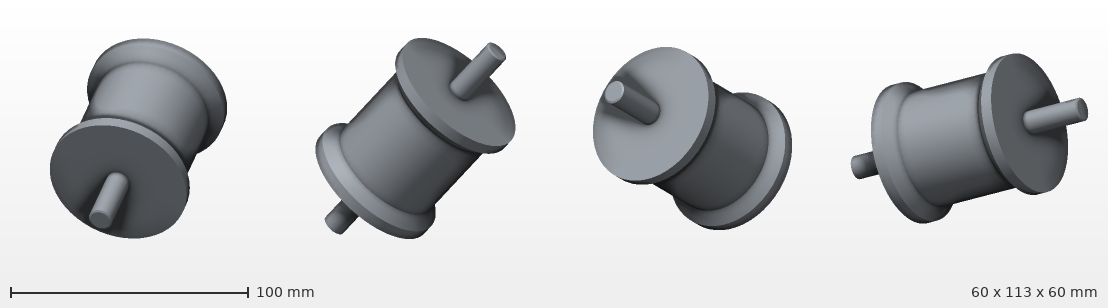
import cadquery as cq

overall_length = 113.0
body_length = 60.0
flange_diameter = 60.0
barrel_diameter = 50.0
rim_width = 5.0
stud_diameter = 10.1
tip_chamfer_length = 0.5
tip_chamfer_depth = 0.8

flange_radius = flange_diameter / 2
barrel_radius = barrel_diameter / 2
stud_radius = stud_diameter / 2
tip_radius = stud_radius - tip_chamfer_depth

stud_end_y = overall_length / 2
tip_start_y = stud_end_y - tip_chamfer_length
rim_outer_y = body_length / 2
rim_inner_y = rim_outer_y - rim_width
barrel_end_y = rim_inner_y - (flange_radius - barrel_radius)


def make_body():
    """Barrel with a sloped flange at each end, revolved around the Y axis."""
    outline = (
        cq.Workplane("XY")
        .moveTo(0, -rim_outer_y)
        .lineTo(flange_radius, -rim_outer_y)
        .lineTo(flange_radius, -rim_inner_y)
        .lineTo(barrel_radius, -barrel_end_y)
        .lineTo(barrel_radius, barrel_end_y)
        .lineTo(flange_radius, rim_inner_y)
        .lineTo(flange_radius, rim_outer_y)
        .lineTo(0, rim_outer_y)
        .close()
    )
    return outline.revolve(360, (0, 0, 0), (0, 1, 0))


def make_studs():
    """One rod through the body forms both studs, chamfered at both tips."""
    outline = (
        cq.Workplane("XY")
        .moveTo(0, -stud_end_y)
        .lineTo(tip_radius, -stud_end_y)
        .lineTo(stud_radius, -tip_start_y)
        .lineTo(stud_radius, tip_start_y)
        .lineTo(tip_radius, stud_end_y)
        .lineTo(0, stud_end_y)
        .close()
    )
    return outline.revolve(360, (0, 0, 0), (0, 1, 0))


result = make_body().union(make_studs())